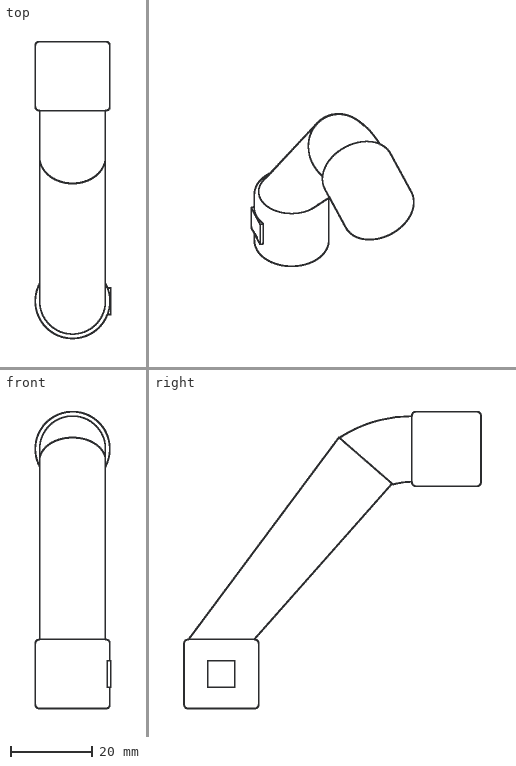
import cadquery as cq
import math

OVERALL = 73.05
CAP_DIAMETER = 18.4
CAP_LENGTH = 17.0
CAP_EDGE_RADIUS = 1.0
BAR_DIAMETER = 16.2
BEND_RADIUS = 24.3
BEND_ANGLE = 28.0
JOINT_TILT = 49.0
PAD_SIZE = 6.6
PAD_HEIGHT = 0.2

cap_radius = CAP_DIAMETER / 2
bar_radius = BAR_DIAMETER / 2
upper_axis_z = OVERALL - cap_radius
upper_end_y = OVERALL - cap_radius
upper_face_y = upper_end_y - CAP_LENGTH

bend_turn = math.radians(BEND_ANGLE)
joint_y = upper_face_y - BEND_RADIUS * math.sin(bend_turn)
joint_z = upper_axis_z - BEND_RADIUS * (1 - math.cos(bend_turn))
tilt = math.radians(JOINT_TILT)
joint_plane = cq.Plane(
    origin=(0, joint_y, joint_z),
    xDir=(1, 0, 0),
    normal=(0, -math.cos(tilt), -math.sin(tilt)),
)
joint_half_length = bar_radius / math.cos(tilt - bend_turn)


def make_cap(plane):
    """Round cap growing from the plane along its normal, both rims rounded."""
    blank = cq.Workplane(plane).circle(cap_radius).extrude(CAP_LENGTH)
    return blank.edges("%CIRCLE").fillet(CAP_EDGE_RADIUS)


def make_bend():
    """Curved bar leaving the upper cap, trimmed at the oblique joint plane."""
    bend_plane = cq.Plane(
        origin=(0, upper_face_y, upper_axis_z),
        xDir=(1, 0, 0),
        normal=(0, -1, 0),
    )
    full_bend = (
        cq.Workplane(bend_plane)
        .circle(bar_radius)
        .revolve(2 * BEND_ANGLE, (-1, -BEND_RADIUS), (1, -BEND_RADIUS))
    )
    beyond_joint = cq.Workplane(joint_plane).rect(OVERALL, OVERALL).extrude(OVERALL)
    return full_bend.cut(beyond_joint)


def make_leg():
    """Straight leg from the oblique joint to the top face of the lower cap."""
    joint_section = cq.Workplane(joint_plane).ellipse(bar_radius, joint_half_length).wires().val()
    cap_section = (
        cq.Workplane(cq.Plane(origin=(0, 0, CAP_LENGTH), xDir=(1, 0, 0), normal=(0, 0, -1)))
        .circle(bar_radius)
        .wires()
        .val()
    )
    return cq.Workplane(cq.Solid.makeLoft([joint_section, cap_section], True))


def make_pad():
    """Flat square pad on the +X side of the lower cap, at mid height."""
    pad_reach = cap_radius + PAD_HEIGHT
    return (
        cq.Workplane("YZ")
        .center(0, CAP_LENGTH / 2)
        .rect(PAD_SIZE, PAD_SIZE)
        .extrude(pad_reach)
    )


lower_cap = make_cap(cq.Plane.XY())
upper_cap = make_cap(
    cq.Plane(origin=(0, upper_face_y, upper_axis_z), xDir=(1, 0, 0), normal=(0, 1, 0))
)

result = lower_cap.union(upper_cap).union(make_bend()).union(make_leg()).union(make_pad())